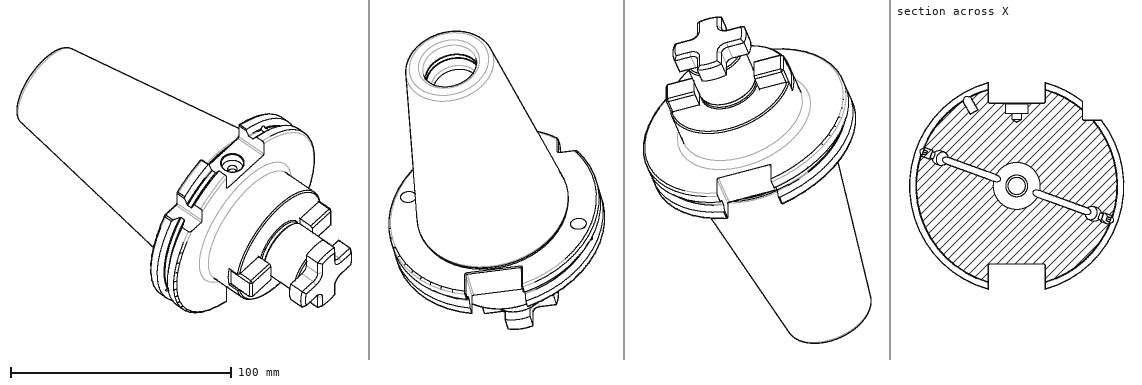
import cadquery as cq
import math


taper_length = 102.8
taper_small_radius = 20.1
taper_large_radius = 35.0
nose_fillet = 2.0
neck_land_end = 103.6
neck_groove_depth = 0.5

flange_start = 105.2
flange_end = 120.7
flange_radius = 48.7
flange_edge_fillet = 1.0
flange_root_fillet = 2.9

groove_center = (flange_start + flange_end) / 2
groove_depth = 3.0
groove_half_width = 3.0
groove_floor_half_width = 1.0
groove_flank_angle = math.radians(30)

drive_slot_width = 25.8
upper_slot_floor = 37.5
lower_slot_floor = 35.5
notch_corner = 29.9
cutout_corner_fillet = 0.7
cutout_edge_chamfer = 0.5

clearance = 1.7
tolerance = 0.02

chip_pocket_diameter = 10.0
chip_pocket_depth = 4.6
chip_pocket_chamfer = 0.3
chip_drill_diameter = 4.3
chip_drill_depth = 2.7

body_end = 141.2
body_radius = 29.0
body_chamfer = 0.7
spigot_end = 162.4
spigot_radius = 13.5
spigot_chamfer = 0.7
relief_width = 2.5
relief_depth = 0.5

mouth_radius = 14.2
pilot_radius = 12.5
pilot_depth = 8.5
pilot_relief_width = 2.5
pilot_relief_depth = 0.3
lead_in_length = 3.8
lead_in_radius = 11.3
thread_chamfer_length = 1.9
thread_bore_radius = 10.6
thread_bore_end = 112.9
screw_bore_radius = 5.0
drill_point_half_angle = math.radians(59)

radial_tilt = 90

coolant_angle = 20
coolant_angles = (coolant_angle, coolant_angle + 180)
coolant_port_radius = 41.8
coolant_port_diameter = 6.3
coolant_port_tilt = 32
coolant_port_length = 11.1
coolant_port_lead = 5.1
coolant_channel_diameter = 3.0

plug_diameter = 4.0
plug_length = 4.0
plug_setback = 0.3
plug_top_radius = flange_radius - groove_depth - plug_setback
plug_socket_size = 2.0
plug_socket_depth = 1.7

index_hole_angle = 60
index_hole_diameter = 4.0
index_hole_depth = 6.8

key_sides = (1, -1)
key_start = 135.5
key_end = 148.5
key_width = 12.0
key_inner = 14.3
key_outer = 28.2
key_chamfer = 1.0

screw_end = 170.8
screw_head_radius = 17.6
screw_head_chamfer = 1.5
screw_arm_half_width = 5.8
screw_arm_fillet = 3.0
screw_shank_start = 136.6
screw_tip_chamfer = 1.0


def turned(profile):
    """Revolve a closed profile, drawn as (x, radius) in the XZ plane, about the tool axis."""
    return profile.close().revolve(360, (0, 0, 0), (1, 0, 0))


def rod(x, radius, angle, tilt_angle, diameter, length):
    """Cylinder that starts at x and radius and runs inward, in the axial plane at the given angle.

    A tilt angle of 90 degrees points straight at the axis, 0 points along +X.
    """
    tilt = math.radians(tilt_angle)
    direction = cq.Vector(math.cos(tilt), -math.sin(tilt), 0)
    solid = cq.Solid.makeCylinder(diameter / 2, length, cq.Vector(x, radius, 0), direction)
    return cq.Workplane(solid.rotate(cq.Vector(0, 0, 0), cq.Vector(1, 0, 0), angle))


def end_plane(x):
    """Selector for the edges centred in the plane across the axis at x."""
    reach = flange_radius + clearance
    return cq.selectors.BoxSelector((x - tolerance, -reach, -reach), (x + tolerance, reach, reach))


def holder_blank():
    profile = (
        cq.Workplane("XZ")
        .lineTo(0, taper_small_radius)
        .lineTo(taper_length, taper_large_radius)
        .lineTo(neck_land_end, taper_large_radius)
        .lineTo(neck_land_end + neck_groove_depth, taper_large_radius - neck_groove_depth)
        .lineTo(flange_start, taper_large_radius - neck_groove_depth)
        .lineTo(flange_start, flange_radius)
        .lineTo(flange_end, flange_radius)
        .lineTo(flange_end, body_radius + flange_root_fillet)
        .radiusArc((flange_end + flange_root_fillet, body_radius), -flange_root_fillet)
        .lineTo(body_end - body_chamfer, body_radius)
        .lineTo(body_end, body_radius - body_chamfer)
        .lineTo(body_end, spigot_radius)
        .lineTo(body_end + relief_depth, spigot_radius - relief_depth)
        .lineTo(body_end + relief_width - relief_depth, spigot_radius - relief_depth)
        .lineTo(body_end + relief_width, spigot_radius)
        .lineTo(spigot_end - spigot_chamfer, spigot_radius)
        .lineTo(spigot_end, spigot_radius - spigot_chamfer)
        .lineTo(spigot_end, 0)
    )
    rims = cq.selectors.RadiusNthSelector(-1)
    return turned(profile).edges(end_plane(0)).fillet(nose_fillet).edges(rims).fillet(flange_edge_fillet)


def v_groove():
    """Ring with straight flanks that blend tangentially into a flat floor."""
    flank_sine = math.sin(groove_flank_angle)
    flank_cosine = math.cos(groove_flank_angle)
    floor = flange_radius - groove_depth
    overshoot = groove_half_width - groove_depth * flank_sine / flank_cosine - groove_floor_half_width
    blend_radius = overshoot * flank_cosine / (1 - flank_sine)
    blend_half_width = groove_floor_half_width + blend_radius * flank_cosine
    blend_top = floor + blend_radius * (1 - flank_sine)
    clear_radius = flange_radius + clearance
    profile = (
        cq.Workplane("XZ")
        .moveTo(groove_center - groove_half_width, clear_radius)
        .lineTo(groove_center - groove_half_width, flange_radius)
        .lineTo(groove_center - blend_half_width, blend_top)
        .radiusArc((groove_center - groove_floor_half_width, floor), -blend_radius)
        .lineTo(groove_center + groove_floor_half_width, floor)
        .radiusArc((groove_center + blend_half_width, blend_top), -blend_radius)
        .lineTo(groove_center + groove_half_width, flange_radius)
        .lineTo(groove_center + groove_half_width, clear_radius)
    )
    return turned(profile)


def flange_cutouts():
    """Two drive slots and one corner notch, as wide as the flange."""
    width = flange_end - flange_start
    reach = flange_radius

    def block(y, z, size_y):
        shape = cq.Workplane("XY").box(width, size_y, reach, centered=(False, True, False))
        return shape.translate((flange_start, y, z))

    upper = block(0, upper_slot_floor, drive_slot_width).edges("|X and <Z").fillet(cutout_corner_fillet)
    lower = block(0, -lower_slot_floor - reach, drive_slot_width)
    lower = lower.edges("|X and >Z").fillet(cutout_corner_fillet)
    notch = block(-notch_corner - reach / 2, notch_corner, reach)
    notch = notch.edges("|X and <Z and >Y").fillet(cutout_corner_fillet)
    return upper.union(lower).union(notch)


def chip_pocket():
    floor = cq.Workplane("XY", origin=(groove_center, 0, upper_slot_floor))
    pocket = floor.circle(chip_pocket_diameter / 2).extrude(-chip_pocket_depth)
    rim = cq.Solid.makeCone(
        chip_pocket_diameter / 2,
        chip_pocket_diameter / 2 + chip_pocket_chamfer,
        chip_pocket_chamfer,
        cq.Vector(groove_center, 0, upper_slot_floor - chip_pocket_chamfer),
    )
    drill_radius = chip_drill_diameter / 2
    drill_bottom = chip_pocket_depth + chip_drill_depth
    drill = floor.circle(drill_radius).extrude(-drill_bottom)
    point = cq.Solid.makeCone(
        drill_radius,
        0,
        drill_radius / math.tan(drill_point_half_angle),
        cq.Vector(groove_center, 0, upper_slot_floor - drill_bottom),
        cq.Vector(0, 0, -1),
    )
    return pocket.union(cq.Workplane(rim)).union(drill.union(cq.Workplane(point)))


def axial_bore():
    mouth_fillet = mouth_radius - pilot_radius
    lead_in_start = pilot_depth + pilot_relief_width
    lead_in_end = lead_in_start + lead_in_length
    cone_length = (thread_bore_radius - screw_bore_radius) / math.tan(drill_point_half_angle)
    profile = (
        cq.Workplane("XZ")
        .lineTo(0, mouth_radius)
        .radiusArc((mouth_fillet, pilot_radius), -mouth_fillet)
        .lineTo(pilot_depth, pilot_radius)
        .lineTo(pilot_depth, pilot_radius + pilot_relief_depth)
        .lineTo(lead_in_start, pilot_radius + pilot_relief_depth)
        .lineTo(lead_in_start, pilot_radius)
        .lineTo(lead_in_end, lead_in_radius)
        .lineTo(lead_in_end + thread_chamfer_length, thread_bore_radius)
        .lineTo(thread_bore_end, thread_bore_radius)
        .lineTo(thread_bore_end + cone_length, screw_bore_radius)
        .lineTo(spigot_end, screw_bore_radius)
        .lineTo(spigot_end, 0)
    )
    return turned(profile)


def coolant_passage(angle):
    """Radial channel with its plug seat, and the inclined port that opens on the flange face."""
    channel = rod(groove_center, plug_top_radius, angle, radial_tilt, coolant_channel_diameter, plug_top_radius)
    seat_length = plug_length + flange_radius - plug_top_radius
    seat = rod(groove_center, flange_radius, angle, radial_tilt, plug_diameter, seat_length)
    tilt = math.radians(coolant_port_tilt)
    port = rod(
        flange_start - coolant_port_lead * math.cos(tilt),
        coolant_port_radius + coolant_port_lead * math.sin(tilt),
        angle,
        coolant_port_tilt,
        coolant_port_diameter,
        coolant_port_length + coolant_port_lead,
    )
    return channel.union(seat).union(port)


def key_block(side, outer):
    """Block as long and as wide as a key, from its inner face out to the given distance."""
    block = cq.Workplane("XY").box(key_end - key_start, outer - key_inner, key_width)
    return block.translate(((key_start + key_end) / 2, side * (key_inner + outer) / 2, 0))


def make_holder():
    holder = holder_blank().cut(v_groove()).cut(flange_cutouts())
    holder = holder.edges(end_plane(flange_start)).edges("%LINE").chamfer(cutout_edge_chamfer)
    holder = holder.cut(chip_pocket()).cut(axial_bore())
    for angle in coolant_angles:
        holder = holder.cut(coolant_passage(angle))
    index_length = groove_depth + index_hole_depth
    index_hole = rod(
        groove_center, flange_radius, index_hole_angle, radial_tilt, index_hole_diameter, index_length
    )
    holder = holder.cut(index_hole)
    for side in key_sides:
        holder = holder.cut(key_block(side, body_radius))
    return holder


def make_key(side):
    """Block with chamfers around its outer face and down the sides of its front face."""
    outer_edges = ">Y" if side > 0 else "<Y"
    return key_block(side, key_outer).edges(f"({outer_edges}) or (>X and |Y)").chamfer(key_chamfer)


def make_plug(angle):
    plug = rod(groove_center, plug_top_radius, angle, radial_tilt, plug_diameter, plug_length)
    socket = (
        cq.Workplane("XZ", origin=(groove_center, plug_top_radius, 0))
        .polygon(6, plug_socket_size)
        .extrude(plug_socket_depth)
        .rotate((0, 0, 0), (1, 0, 0), angle)
    )
    return plug.cut(socket)


def make_screw():
    """Screw with a head of four arms."""
    head_length = screw_end - spigot_end
    disc = (
        cq.Workplane("YZ", origin=(spigot_end, 0, 0))
        .circle(screw_head_radius)
        .extrude(head_length)
    )
    arm_size = 2 * screw_head_radius + clearance
    arm = cq.Workplane("YZ", origin=(spigot_end, 0, 0)).rect(arm_size, 2 * screw_arm_half_width)
    arm = arm.extrude(head_length)
    cross = arm.union(arm.rotate((0, 0, 0), (1, 0, 0), 90))
    inner = 2 * screw_arm_half_width
    inner_corners = cq.selectors.BoxSelector((0, -inner, -inner), (screw_end, inner, inner))
    cross = cross.edges("|X").edges(inner_corners).fillet(screw_arm_fillet)
    shank = (
        cq.Workplane("YZ", origin=(screw_shank_start, 0, 0))
        .circle(screw_bore_radius)
        .extrude(spigot_end - screw_shank_start)
        .faces("<X")
        .chamfer(screw_tip_chamfer)
    )
    head = disc.intersect(cross).faces(">X").chamfer(screw_head_chamfer)
    return head.union(shank)


holder = make_holder()
screw = make_screw()
keys = [make_key(side) for side in key_sides]
plugs = [make_plug(angle) for angle in coolant_angles]

result = cq.Compound.makeCompound(
    [holder.val(), screw.val(), *[key.val() for key in keys], *[plug.val() for plug in plugs]]
)